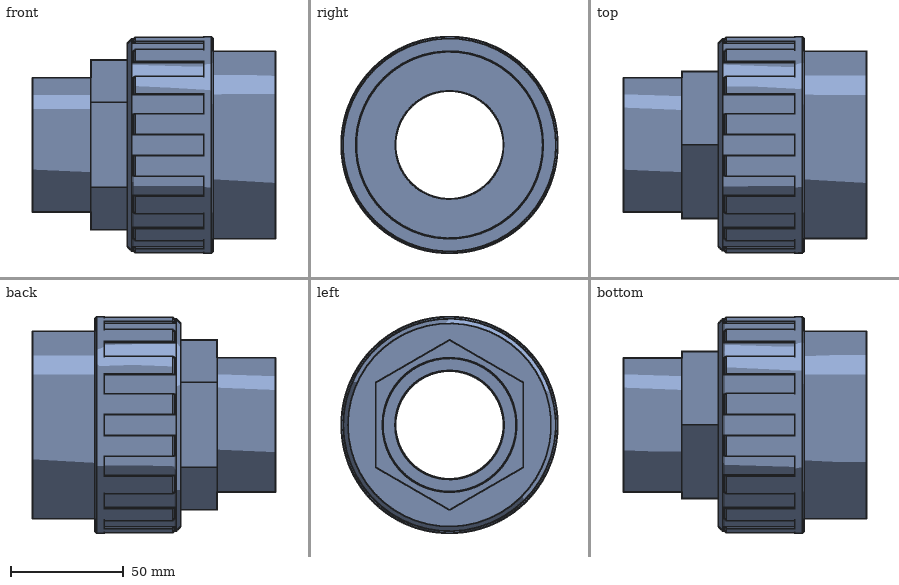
import cadquery as cq

total_length = 108.0
hex_start = 26.0
nut_start = 42.1
nut_length = 38.0
nut_end = nut_start + nut_length

spigot_diameter = 59.6
socket_diameter = 83.2
bore_diameter = 47.7
edge_chamfer = 0.3

hex_across_flats = 65.2

nut_diameter = 96.0
nut_root_diameter = 94.1
root_radius = nut_root_diameter / 2
outer_radius = nut_diameter / 2
nut_front_chamfer = 2.0
nut_back_chamfer = 0.9
rib_count = 16
rib_start = nut_start + 2.7
rib_end = nut_start + 34.0
gap_pitch = 360 / rib_count
gap_angle = gap_pitch / 2


def cylinder(start, end, diameter):
    """Cylinder on the X axis between two X positions."""
    return cq.Workplane("YZ", origin=(start, 0, 0)).circle(diameter / 2).extrude(end - start)


def make_spigot():
    return cylinder(0, hex_start, spigot_diameter).faces("<X").edges().chamfer(edge_chamfer)


def make_hexagon():
    across_corners = hex_across_flats / 3**0.5 * 2
    blank = cq.Workplane("YZ", origin=(hex_start, 0, 0)).polygon(6, across_corners)
    return blank.extrude(nut_start - hex_start).rotate((0, 0, 0), (1, 0, 0), 90)


def make_socket():
    return cylinder(nut_end, total_length, socket_diameter).faces(">X").edges().chamfer(edge_chamfer)


def make_nut_blank():
    """Nut of revolution: bevelled front band at the root diameter, then the full diameter."""
    rib_bevel = outer_radius - root_radius
    profile = [
        (nut_start, 0),
        (nut_start, root_radius - nut_front_chamfer),
        (nut_start + nut_front_chamfer, root_radius),
        (rib_start, root_radius),
        (rib_start + rib_bevel, outer_radius),
        (nut_end - nut_back_chamfer, outer_radius),
        (nut_end, outer_radius - nut_back_chamfer),
        (nut_end, 0),
    ]
    return cq.Workplane("XY").polyline(profile).close().revolve(360, (0, 0, 0), (1, 0, 0))


def make_gap():
    """Ring sector centred on +Y that clears the space between two ribs."""
    cutter_radius = outer_radius + 1.1
    gap = (
        cq.Workplane("XY")
        .moveTo(rib_start, root_radius)
        .lineTo(rib_end, root_radius)
        .lineTo(rib_end, cutter_radius)
        .lineTo(rib_start, cutter_radius)
        .close()
        .revolve(gap_angle, (0, 0, 0), (1, 0, 0))
    )
    return gap.rotate((0, 0, 0), (1, 0, 0), -gap_angle / 2)


def make_nut():
    nut = make_nut_blank()
    gap = make_gap()
    for index in range(rib_count):
        nut = nut.cut(gap.rotate((0, 0, 0), (1, 0, 0), index * gap_pitch))
    return nut


body = make_spigot().union(make_hexagon()).union(make_nut()).union(make_socket())
result = body.cut(cylinder(0, total_length, bore_diameter))
result = result.faces("<X").edges(cq.selectors.RadiusNthSelector(0)).chamfer(edge_chamfer)